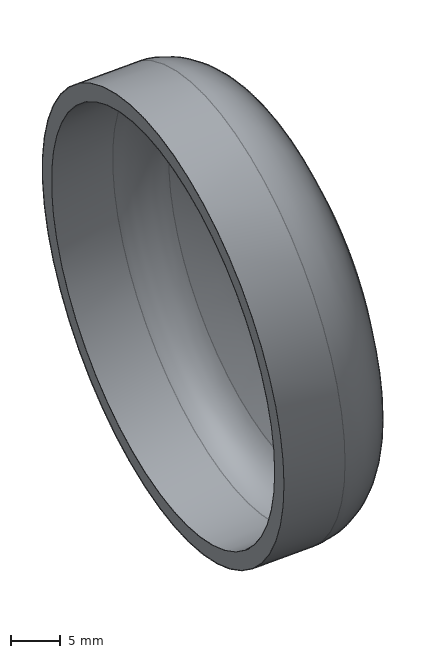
import cadquery as cq
import math

outer_diameter = 52.0
inner_diameter = 48.0
skirt_length = 6.95

outer_radius = outer_diameter / 2
wall = (outer_diameter - inner_diameter) / 2

crown_radius = outer_diameter + wall
knuckle_radius = outer_diameter / 10 + wall

knuckle_center_x = outer_radius - knuckle_radius
center_distance = crown_radius - knuckle_radius
crown_center_y = skirt_length - math.sqrt(center_distance**2 - knuckle_center_x**2)

tangent_angle = math.asin(knuckle_center_x / center_distance)


def crown_point(angle, offset):
    """Point on the crown, at an angle from the Y axis, offset inwards."""
    radius = crown_radius - offset
    return radius * math.sin(angle), crown_center_y + radius * math.cos(angle)


def knuckle_point(angle, offset):
    """Point on the knuckle, at an angle from the Y axis, offset inwards."""
    radius = knuckle_radius - offset
    return knuckle_center_x + radius * math.sin(angle), skirt_length + radius * math.cos(angle)


def dome(offset):
    """Solid dome whose surface lies the given distance inside the outer one."""
    knuckle_middle = (tangent_angle + math.pi / 2) / 2
    return (
        cq.Workplane("XY")
        .lineTo(outer_radius - offset, 0)
        .lineTo(outer_radius - offset, skirt_length)
        .threePointArc(knuckle_point(knuckle_middle, offset), crown_point(tangent_angle, offset))
        .threePointArc(crown_point(tangent_angle / 2, offset), crown_point(0, offset))
        .close()
        .revolve(360, (0, 0, 0), (0, 1, 0))
    )


result = dome(0).cut(dome(wall))